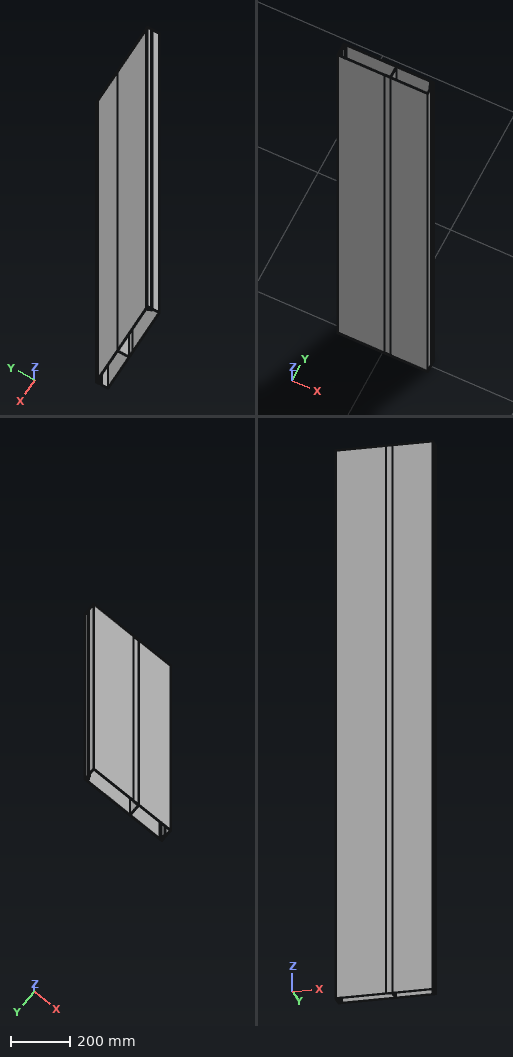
import cadquery as cq

width = 340.0
depth = 47.75
length = 2000.0

sheet = 1.0
back_sheet = 1.25

flange_depth = 15.0
ledge_depth = 19.5
neck_inset = 5.0
hem_inset = 9.5
hem_depth = 10.0

divider_x = 29.8
foot_width = 23.0

half_width = width / 2
back_inside = depth - back_sheet


def plate(x_start, x_end, y_start, y_end):
    """Full-length sheet strip with the given cross-section limits."""
    return (
        cq.Workplane("XY")
        .rect(x_end - x_start, y_end - y_start)
        .extrude(length)
        .translate(((x_start + x_end) / 2, (y_start + y_end) / 2, 0))
    )


def seam_wall():
    """Side wall on +X with its outer flange, stepped-in neck and inner hem."""
    ledge_top = depth - ledge_depth
    neck_outer = half_width - neck_inset
    neck_inner = neck_outer - sheet
    hem_inner = half_width - hem_inset - sheet
    wall_inner = half_width - sheet
    wall = plate(wall_inner, half_width, 0, ledge_top)
    ledge = plate(neck_inner, half_width, ledge_top - sheet, ledge_top)
    neck = plate(neck_inner, neck_outer, ledge_top - sheet, back_inside)
    bridge = plate(hem_inner, neck_outer, back_inside - sheet, back_inside)
    hem = plate(hem_inner, hem_inner + sheet, depth - hem_depth, back_inside)
    flange = plate(wall_inner, half_width, depth - flange_depth, depth)
    return wall.union(ledge).union(neck).union(bridge).union(hem).union(flange)


def make_duct():
    """Closed sheet duct: front plate, back plate and two mirrored seam walls."""
    front = plate(-half_width, half_width, 0, sheet)
    back = plate(-half_width, half_width, back_inside, depth)
    right_wall = seam_wall()
    left_wall = right_wall.mirror("YZ")
    return front.union(back).union(right_wall).union(left_wall)


def make_divider():
    """L-shaped divider: foot lying on the front plate, web reaching the back plate."""
    foot = plate(divider_x - foot_width, divider_x, sheet, 2 * sheet)
    web = plate(divider_x - sheet, divider_x, sheet, back_inside)
    return foot.union(web)


duct = make_duct()
divider = make_divider()

result = cq.Compound.makeCompound([duct.val(), divider.val()])